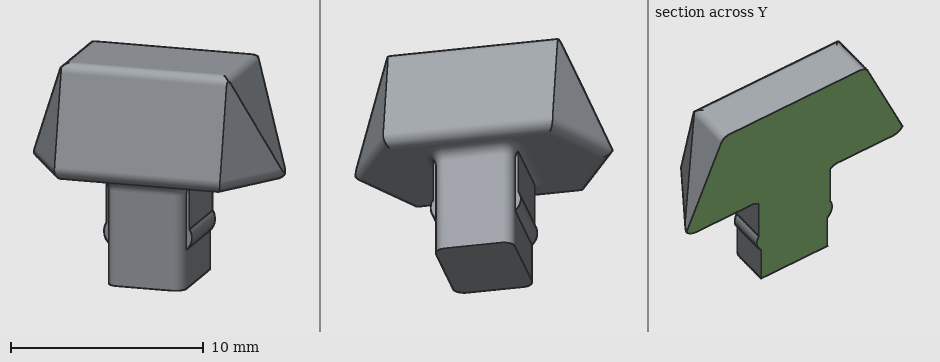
import cadquery as cq
import math

cap_height = 6.0
base_z = 5.73
corner_x = 4.51
top_half_width = 2.6
base_half_width = 4.0
tip_x = 7.0
edge_radius = 0.6

stem_length = 4.2
stem_width = 5.2
root_radius = edge_radius

pad_rise = 0.16
pad_width = stem_width - 2 * edge_radius
ridge_radius = 0.88
ridge_z = 2.75
ridge_reach = 2.4


def wedge(base_half, top_half, angle, round_base=False, round_top=False):
    """Long bar of trapezoid section whose two sloping sides face `angle` degrees from X."""
    top_z = base_z + cap_height
    bar = (
        cq.Workplane("XZ")
        .polyline([(-base_half, base_z), (base_half, base_z), (top_half, top_z), (-top_half, top_z)])
        .close()
        .extrude(2 * tip_x, both=True)
    )
    if round_base:
        bar = bar.faces("<Z").edges("|Y").fillet(edge_radius)
    if round_top:
        bar = bar.faces(">Z").edges("|Y").fillet(edge_radius)
    return bar.rotate((0, 0, 0), (0, 0, 1), angle)


def make_cap():
    """Intersect the paired sloping faces so their rounded rims meet in mitred corners."""
    normal_angle = math.atan2(tip_x - corner_x, base_half_width)
    normal_x = math.cos(normal_angle)
    normal_y = math.sin(normal_angle)
    diagonal_base = tip_x * normal_x
    diagonal_top = corner_x * normal_x + top_half_width * normal_y

    cap = wedge(base_half_width, top_half_width, 90, round_base=True, round_top=True)
    cap = cap.intersect(wedge(tip_x, corner_x, 0, round_top=True))
    for side in (-1, 1):
        angle = side * math.degrees(normal_angle)
        cap = cap.intersect(wedge(diagonal_base, diagonal_top, angle, round_base=True))
    return cap


def make_stem():
    return (
        cq.Workplane()
        .rect(stem_length, stem_width)
        .extrude(base_z)
        .edges("|Z")
        .fillet(edge_radius)
    )


def round_root(body):
    """Fillet the inside corner where the stem meets the underside of the cap."""
    margin = 0.01
    root_box = cq.selectors.BoxSelector(
        (-stem_length / 2 - margin, -stem_width / 2 - margin, base_z - margin),
        (stem_length / 2 + margin, stem_width / 2 + margin, base_z + margin),
        boundingbox=True,
    )
    return body.edges(root_box).fillet(root_radius)


def make_snap():
    """Raised pads above a rounded ridge on each X face."""
    pads = (
        cq.Workplane()
        .box(stem_length + 2 * pad_rise, pad_width, base_z - ridge_z, centered=(True, True, False))
        .translate((0, 0, ridge_z))
    )
    ridge_x = ridge_reach - ridge_radius
    ridges = (
        cq.Workplane("XZ")
        .pushPoints([(-ridge_x, ridge_z), (ridge_x, ridge_z)])
        .circle(ridge_radius)
        .extrude(pad_width / 2, both=True)
    )
    return pads.union(ridges)


result = round_root(make_cap().union(make_stem())).union(make_snap())